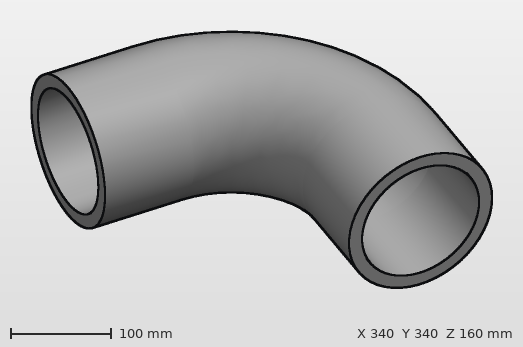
import cadquery as cq

overall_size = 340.0
outer_diameter = 160.0
inner_diameter = 131.0

bend_radius = outer_diameter
straight_length = overall_size - bend_radius - outer_diameter / 2
bend_angle = 90


def ring(plane):
    """Pipe cross-section on the given plane."""
    return cq.Workplane(plane).circle(outer_diameter / 2).circle(inner_diameter / 2)


inlet_plane = cq.Plane(origin=(-bend_radius, 0, 0), xDir=(1, 0, 0), normal=(0, -1, 0))
outlet_plane = cq.Plane(origin=(0, bend_radius, 0), xDir=(0, 1, 0), normal=(1, 0, 0))

inlet = ring(inlet_plane).extrude(straight_length)
outlet = ring(outlet_plane).extrude(straight_length)

elbow = ring(inlet_plane).revolve(bend_angle, (bend_radius, 3.5, 0), (bend_radius, 0, 0))

result = elbow.union(inlet).union(outlet)